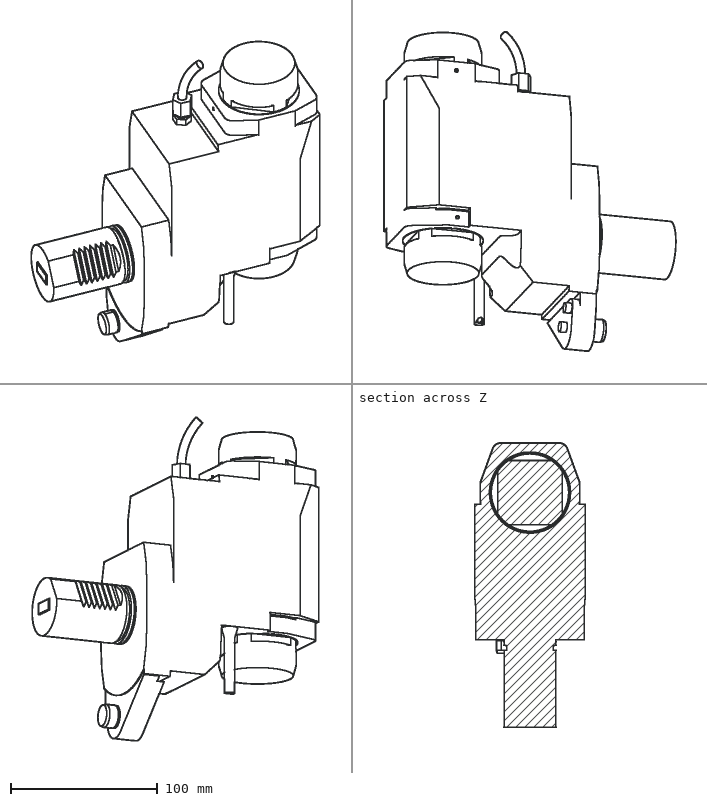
import cadquery as cq
import math


EPS = 0.5

body_half_width = 38.0
body_front_y = 20.2
body_back_y = 134.3
body_top_z = 97.2
body_bottom_z = -9.4
side_top_z = 72.6
side_bottom_z = -5.9
steep_draft = math.tan(math.radians(5))
wide_draft = math.tan(math.radians(15))
side_front_y = 31.4
side_back_y = 114.8
back_half_width = 26.6
step_y = 56.8
step_z = 92.3
foot_bottom_z = -43.9
foot_back_y = 56.0
foot_chamfer_y = 46.0
foot_mid_z = -30.2
lobe_half_width = 24.0
lobe_back_y = 66.4
lobe_fillet = 6.6
lobe_corner_radius = 3.6
rear_bottom_z = 3.0
rear_bottom_y = 92.5

spindle_y = 100.4
plate_height = 12.4
plate_half_length = body_back_y - spindle_y
plate_slope = math.tan(math.radians(20))
plate_corner_x = 24.1
plate_fillet = 6.0
top_plate_half_width = 31.55
bottom_plate_half_width = 34.0
plate_seat = 0.8
plate_chamfer = 1.4
recess_diameter = 55.0
recess_depth = 0.5
nut_diameter = 53.0
nut_height = 23.1
nut_cone_height = 7.2
nut_cone_inset = 2.0
nut_flat_distance = 22.0
nut_flat_height = 5.0
nut_flat_count = 4
top_nut_angle = 56.0
mark_diameter = 2.1
mark_depth = 1.0

flange_top_z = 44.2
flange_mid_z = -foot_mid_z
flange_bottom_z = -47.5
face_step = 0.6
face_radius = 55.0
tab_front_y = face_step
tab_step_y = 12.2
tab_back_y = 17.4
tab_left_x = -31.2
tab_end_x = -15.0
tab_end_z = -69.9
tab_end_radius = 13.0
tab_angle = math.radians(40)
tab_right_x = 31.2
tab_rear_top_z = -51.0
tab_rear_fillet = 5.8
tab_left_z = tab_rear_top_z - tab_rear_fillet
pin_z = -68.0
pin_diameter = 16.0
pin_neck_diameter = 15.5
pin_neck_y = -0.7
pin_cone_y = -7.2
pin_cone_inset = 0.75
pin_end_y = -9.3
pin_flat_distance = 7.6
pin_flat_angle = 18.0
stud_diameter = 7.0
stud_end_y = 21.7
stud_centres = [(-26.0, -57.8), (tab_end_x, pin_z)]

shank_diameter = 40.0
shank_length = 59.7
shank_groove_diameter = 37.0
shank_groove_front_y = -7.0
shank_groove_back_y = -4.2
shank_groove_bevel_y = -3.6
shank_neck_diameter = 39.6
shank_neck_y = -0.8
shank_collar_y = -1.4
flat_distance = 17.7
flat_angle = 32.0
flat_start_y = -11.7
flat_ramp = 2.7
tooth_count = 7
tooth_pitch = 4.0
tooth_first_y = -15.4
tooth_half_width = 1.7
tooth_depth = 2.1
key_length = 16.6
key_height = 8.0
key_projection = 0.8
key_chamfer = 0.4

fitting_x = -10.0
fitting_y = 47.8
fitting_hex = 11.0
fitting_nut_hex = 12.0
nut_turn = 30.0
fitting_top_z = 96.9
fitting_neck_diameter = 8.15
fitting_collar_diameter = 9.8
fitting_collar_z = 98.4
fitting_nut_z = 99.4
fitting_nut_top_z = 111.6
hose_diameter = 6.0
hose_bend_radius = 44.0
hose_bend = math.radians(45)
hose_heading = math.radians(48)
hose_top_z = 144.91
tube_x = 31.6
tube_y = 64.8
tube_diameter = 7.0
tube_bottom_z = -55.0
tube_cone_diameter = 11.5
tube_cone_height = 7.0
tube_bevel_width = 1.8
tube_bevel_height = 3.0
tube_hole_diameter = 4.0
tube_hole_depth = 3.0


def prism_y(points, y0, y1):
    """Extrude an X-Z outline from y0 to y1."""
    return cq.Workplane("XZ", origin=(0, y0, 0)).polyline(points).close().extrude(y0 - y1)


def prism_x(points, half_width):
    """Extrude a Y-Z outline symmetrically about X = 0."""
    return cq.Workplane("YZ").polyline(points).close().extrude(half_width, both=True)


def prism_z(points, z0, z1):
    """Extrude an X-Y outline from z0 to z1."""
    return cq.Workplane("XY", origin=(0, 0, z0)).polyline(points).close().extrude(z1 - z0)


def cylinder_y(x, z, diameter, y0, y1):
    return cq.Workplane("XZ", origin=(x, y0, z)).circle(diameter / 2).extrude(y0 - y1)


def cylinder_z(x, y, diameter, z0, z1):
    return cq.Workplane("XY", origin=(x, y, z0)).circle(diameter / 2).extrude(z1 - z0)


def mirrored(points):
    """Complete a right-hand half outline with its mirror image about X = 0."""
    return points + [(-x, other) for x, other in reversed(points)]


def body():
    top_half = body_half_width - (body_top_z - side_top_z) * wide_draft
    foot_mid_half = body_half_width - (side_bottom_z - foot_mid_z) * steep_draft
    foot_half = foot_mid_half - (foot_mid_z - foot_bottom_z) * wide_draft
    front_half = body_half_width - (side_front_y - body_front_y) * steep_draft
    cross_section = prism_y(
        mirrored([
            (foot_half, foot_bottom_z),
            (foot_mid_half, foot_mid_z),
            (body_half_width, side_bottom_z),
            (body_half_width, side_top_z),
            (top_half, body_top_z),
        ]),
        body_front_y,
        body_back_y,
    )
    plan = prism_z(
        mirrored([
            (front_half, body_front_y),
            (body_half_width, side_front_y),
            (body_half_width, side_back_y),
            (back_half_width, body_back_y),
        ]),
        foot_bottom_z,
        body_top_z,
    )
    side = prism_x(
        [
            (body_front_y, foot_bottom_z),
            (foot_chamfer_y, foot_bottom_z),
            (foot_back_y, foot_bottom_z + foot_back_y - foot_chamfer_y),
            (foot_back_y, body_bottom_z),
            (rear_bottom_y, body_bottom_z),
            (rear_bottom_y, rear_bottom_z),
            (body_back_y, rear_bottom_z),
            (body_back_y, body_top_z),
            (step_y, body_top_z),
            (step_y, step_z),
            (body_front_y, step_z),
        ],
        body_half_width,
    )
    return cross_section.intersect(plan).intersect(side)


def lobe():
    """Narrow rear end of the foot, blended into it by concave fillets."""
    outline = (
        cq.Workplane("XY", origin=(0, 0, foot_bottom_z))
        .moveTo(lobe_half_width + lobe_fillet, foot_back_y)
        .radiusArc((lobe_half_width, foot_back_y + lobe_fillet), lobe_fillet)
        .lineTo(lobe_half_width, lobe_back_y - lobe_corner_radius)
        .radiusArc((lobe_half_width - lobe_corner_radius, lobe_back_y), -lobe_corner_radius)
        .lineTo(lobe_corner_radius - lobe_half_width, lobe_back_y)
        .radiusArc((-lobe_half_width, lobe_back_y - lobe_corner_radius), -lobe_corner_radius)
        .lineTo(-lobe_half_width, foot_back_y + lobe_fillet)
        .radiusArc((-lobe_half_width - lobe_fillet, foot_back_y), lobe_fillet)
        .lineTo(-lobe_half_width - lobe_fillet, foot_chamfer_y)
        .lineTo(lobe_half_width + lobe_fillet, foot_chamfer_y)
        .close()
        .extrude(body_bottom_z + EPS - foot_bottom_z)
    )
    side = prism_x(
        [
            (foot_chamfer_y, foot_bottom_z + EPS),
            (foot_chamfer_y + EPS, foot_bottom_z + EPS),
            (lobe_back_y, foot_bottom_z + lobe_back_y - foot_chamfer_y),
            (lobe_back_y, body_bottom_z + EPS),
            (foot_chamfer_y, body_bottom_z + EPS),
        ],
        body_half_width,
    )
    return outline.intersect(side)


def spindle_plate(half_width, z0, z1):
    flat_half = plate_half_length - (half_width - plate_corner_x) / plate_slope
    right = [
        (plate_corner_x, spindle_y - plate_half_length),
        (half_width, spindle_y - flat_half),
        (half_width, spindle_y + flat_half),
        (plate_corner_x, spindle_y + plate_half_length),
    ]
    plate = prism_z(mirrored(right), z0, z1)
    return plate.edges("|Z").edges("<Y or >Y").fillet(plate_fillet)


def spindle_nut(base_z, direction, angle):
    """Round nut standing on base_z, with four flats next to the plate."""
    radius = nut_diameter / 2
    nut = (
        cq.Workplane("XZ")
        .polyline([
            (0, -recess_depth - EPS),
            (radius, -recess_depth - EPS),
            (radius, nut_height - nut_cone_height),
            (radius - nut_cone_inset, nut_height),
            (0, nut_height),
        ])
        .close()
        .revolve(360, (0, 0, 0), (0, 1, 0))
    )
    flat_cutter = (
        cq.Workplane("XY", origin=(0, 0, -recess_depth))
        .center(nut_flat_distance + radius / 2, 0)
        .rect(radius, nut_diameter)
        .extrude(recess_depth + nut_flat_height)
    )
    for index in range(nut_flat_count):
        turn = angle + index * 360 / nut_flat_count
        nut = nut.cut(flat_cutter.rotate((0, 0, 0), (0, 0, 1), turn))
    if direction < 0:
        nut = nut.mirror("XY")
    return nut.translate((0, spindle_y, base_z))


def spindle_recess(base_z, direction):
    return cylinder_z(0, spindle_y, recess_diameter, base_z - direction * recess_depth, base_z)


def mark_hole(half_width, z):
    return (
        cq.Workplane("YZ", origin=(-half_width, spindle_y, z))
        .circle(mark_diameter / 2)
        .extrude(mark_depth)
    )


def spindles():
    top_z = body_top_z + plate_height
    bottom_z = body_bottom_z
    plate_top = spindle_plate(top_plate_half_width, body_top_z - plate_seat, top_z)
    plate_bottom = spindle_plate(bottom_plate_half_width, bottom_z, rear_bottom_z)
    plate_bottom = plate_bottom.edges("|Z").edges("<X or >X").fillet(plate_fillet)
    top_mark_z = body_top_z + plate_height / 2
    bottom_mark_z = (bottom_z + rear_bottom_z) / 2
    plate_front_y = spindle_y - plate_half_length
    front_mark = cylinder_y(0, top_mark_z, mark_diameter, plate_front_y, plate_front_y + mark_depth)
    top = plate_top.cut(spindle_recess(top_z, 1)).cut(front_mark)
    top = top.cut(mark_hole(top_plate_half_width, top_mark_z))
    top = top.union(spindle_nut(top_z, 1, top_nut_angle))
    chamfered = plate_bottom.faces(">Z").chamfer(plate_chamfer)
    behind = cq.Workplane("XY").box(2 * body_half_width, plate_half_length, 2 * plate_height)
    behind = behind.translate((0, side_back_y + plate_half_length / 2, bottom_z))
    plate_bottom = chamfered.union(plate_bottom.intersect(behind))
    bottom = plate_bottom.cut(mark_hole(bottom_plate_half_width, bottom_mark_z))
    return top, bottom


def flange():
    side_drop = side_front_y - body_front_y
    side_half = body_half_width - side_drop * steep_draft
    side_z = side_drop - side_bottom_z
    mid_half = side_half - (flange_mid_z - side_z) * steep_draft
    top_half = mid_half - (flange_top_z - flange_mid_z) * wide_draft
    bottom_half = mid_half + (flange_bottom_z + flange_mid_z) * wide_draft
    right = [
        (bottom_half, flange_bottom_z),
        (mid_half, -flange_mid_z),
        (side_half, -side_z),
        (side_half, side_z),
        (mid_half, flange_mid_z),
        (top_half, flange_top_z),
    ]
    block = prism_y(mirrored(right), face_step, body_front_y)
    deep_half = mid_half + (flange_mid_z - face_radius) * wide_draft
    face_outline = [(deep_half, -face_radius)] + right[1:]
    face = prism_y(mirrored(face_outline), 0, face_step)
    disc = cylinder_y(0, 0, 2 * face_radius, 0, face_step)
    return block.union(face.intersect(disc))


def tab_layer(top_z, corner_radius, y0, y1):
    """Tab layer: a left edge, a round lower end, a sloping right edge and a round or square corner."""
    normal_x = math.sin(tab_angle)
    normal_z = -math.cos(tab_angle)
    right_start_x = tab_end_x + tab_end_radius * normal_x
    right_start_z = tab_end_z + tab_end_radius * normal_z
    top_x = min(tab_right_x, right_start_x + (top_z - right_start_z) / math.tan(tab_angle))
    top_right_z = right_start_z + (top_x - right_start_x) * math.tan(tab_angle)
    dx = tab_left_x - tab_end_x
    dz = tab_left_z - tab_end_z
    corner_angle = math.atan2(dz, dx)
    tangent_angle = corner_angle + math.acos(tab_end_radius / math.hypot(dx, dz))
    left_x = tab_end_x + tab_end_radius * math.cos(tangent_angle)
    left_z = tab_end_z + tab_end_radius * math.sin(tangent_angle)
    outline = (
        cq.Workplane("XZ", origin=(0, y0, 0))
        .moveTo(tab_left_x, tab_left_z)
        .lineTo(left_x, left_z)
        .threePointArc((tab_end_x, tab_end_z - tab_end_radius), (right_start_x, right_start_z))
        .lineTo(top_x, top_right_z)
    )
    if top_z > top_right_z + EPS:
        outline = outline.lineTo(top_x, top_z)
    if corner_radius:
        outline = outline.lineTo(tab_left_x + corner_radius, top_z)
        outline = outline.radiusArc((tab_left_x, top_z - corner_radius), -corner_radius)
    else:
        outline = outline.lineTo(tab_left_x, top_z)
    return outline.close().extrude(y0 - y1)


def pin():
    radius = pin_diameter / 2
    shape = cylinder_y(0, 0, pin_neck_diameter, pin_neck_y, tab_front_y + EPS)
    shape = shape.union(cylinder_y(0, 0, pin_diameter, pin_end_y, pin_neck_y))
    shape = shape.faces("<Y").chamfer(pin_cone_y - pin_end_y, pin_cone_inset)
    flat = (
        cq.Workplane("XZ", origin=(0, pin_cone_y, 0))
        .center(0, pin_flat_distance + radius)
        .rect(pin_diameter, pin_diameter)
        .extrude(pin_cone_y - pin_neck_y)
        .rotate((0, 0, 0), (0, 1, 0), -pin_flat_angle)
    )
    return shape.cut(flat).translate((tab_end_x, 0, pin_z))


def tab():
    shape = tab_layer(flange_bottom_z + EPS, 0, tab_front_y, tab_step_y)
    rear = tab_layer(tab_rear_top_z, tab_rear_fillet, tab_step_y, tab_back_y)
    shape = shape.union(rear).union(pin())
    for x, z in stud_centres:
        shape = shape.union(cylinder_y(x, z, stud_diameter, tab_back_y - EPS, stud_end_y))
    return shape


def shank():
    radius = shank_diameter / 2
    neck_radius = shank_neck_diameter / 2
    groove_radius = shank_groove_diameter / 2
    profile = [
        (0, EPS),
        (neck_radius, EPS),
        (neck_radius, shank_neck_y),
        (radius, shank_collar_y),
        (radius, shank_groove_bevel_y),
        (groove_radius, shank_groove_back_y),
        (groove_radius, shank_groove_front_y),
        (radius, shank_groove_front_y),
        (radius, -shank_length),
        (0, -shank_length),
    ]
    shape = cq.Workplane("XY").polyline(profile).close().revolve(360, (0, 0, 0), (0, 1, 0))
    outer = flat_distance + flat_ramp
    shape = shape.cut(tooth_side([
        (flat_distance, -shank_length),
        (flat_distance, flat_start_y),
        (outer, flat_start_y + flat_ramp),
        (outer, -shank_length),
    ]))
    for index in range(tooth_count):
        y = tooth_first_y - index * tooth_pitch
        shape = shape.cut(tooth_side([
            (flat_distance - tooth_depth, y),
            (flat_distance, y + tooth_half_width),
            (outer, y + tooth_half_width),
            (outer, y - tooth_half_width),
            (flat_distance, y - tooth_half_width),
        ]))
    key = cq.Workplane("XY").box(key_length, key_projection + EPS, key_height)
    key_y = -shank_length - key_projection + (key_projection + EPS) / 2
    key = key.faces("<Y").chamfer(key_chamfer)
    return shape.union(key.translate((0, key_y, 0)))


def tooth_side(points):
    """Cutter across the toothed side of the shank; points are (distance from axis, Y)."""
    cutter = cq.Workplane("XY").polyline(points).close().extrude(shank_diameter, both=True)
    return cutter.rotate((0, 0, 0), (0, 1, 0), -flat_angle)


def hexagon(across_flats, z0, z1, turn):
    across_corners = across_flats / math.cos(math.pi / 6)
    prism = cq.Workplane("XY").polygon(6, across_corners).extrude(z1 - z0)
    return prism.rotate((0, 0, 0), (0, 0, 1), turn).translate((fitting_x, fitting_y, z0))


def fitting():
    shape = hexagon(fitting_hex, step_z - EPS, fitting_top_z, 0)
    neck = cylinder_z(fitting_x, fitting_y, fitting_neck_diameter, fitting_top_z - EPS, fitting_nut_z)
    collar = cylinder_z(fitting_x, fitting_y, fitting_collar_diameter, fitting_collar_z, fitting_nut_z + EPS)
    nut = hexagon(fitting_nut_hex, fitting_nut_z, fitting_nut_top_z, nut_turn)
    return shape.union(neck).union(collar).union(nut).union(hose())


def hose():
    """Round hose that leaves the nut upright and bends over in one arc."""
    rise = hose_bend_radius * math.sin(hose_bend)
    tilt_height = hose_diameter / 2 * math.sin(hose_bend)
    start_z = hose_top_z - rise - tilt_height

    def path_point(angle):
        reach = hose_bend_radius * (1 - math.cos(angle))
        return (
            fitting_x + reach * math.cos(hose_heading),
            fitting_y + reach * math.sin(hose_heading),
            start_z + hose_bend_radius * math.sin(angle),
        )

    arc = cq.Edge.makeThreePointArc(
        cq.Vector(*path_point(0)), cq.Vector(*path_point(hose_bend / 2)), cq.Vector(*path_point(hose_bend))
    )
    bend = (
        cq.Workplane("XY", origin=path_point(0))
        .circle(hose_diameter / 2)
        .sweep(cq.Workplane(cq.Wire.assembleEdges([arc])))
    )
    root = cylinder_z(fitting_x, fitting_y, hose_diameter, fitting_nut_z, start_z)
    return root.union(bend)


def outlet_tube():
    radius = tube_diameter / 2
    tube = cylinder_z(tube_x, tube_y, tube_diameter, tube_bottom_z, body_bottom_z + EPS)
    left = tube_x - radius
    bevel = prism_y(
        [
            (left, tube_bottom_z),
            (left + tube_bevel_width, tube_bottom_z),
            (left, tube_bottom_z + tube_bevel_height),
        ],
        tube_y - tube_diameter,
        tube_y + tube_diameter,
    )
    axis = cq.Vector(-tube_bevel_height, 0, -tube_bevel_width).normalized()
    mouth = cq.Vector(left + tube_bevel_width / 2, tube_y, tube_bottom_z + tube_bevel_height / 2)
    nozzle = cq.Solid.makeCylinder(
        tube_hole_diameter / 2, tube_hole_depth + EPS, mouth + axis * EPS, axis * -1
    )
    cone = cq.Solid.makeCone(
        tube_cone_diameter / 2,
        radius,
        tube_cone_height + EPS,
        cq.Vector(tube_x, tube_y, body_bottom_z + EPS),
        cq.Vector(0, 0, -1),
    )
    return tube.union(cq.Workplane(cone)).cut(bevel).cut(cq.Workplane(nozzle))


top_spindle, bottom_plate = spindles()
result = body().union(lobe()).union(top_spindle).union(bottom_plate)
result = result.cut(spindle_recess(body_bottom_z, -1))
result = result.union(spindle_nut(body_bottom_z, -1, 0))
for piece in (flange(), tab(), shank(), fitting(), outlet_tube()):
    result = result.union(piece)